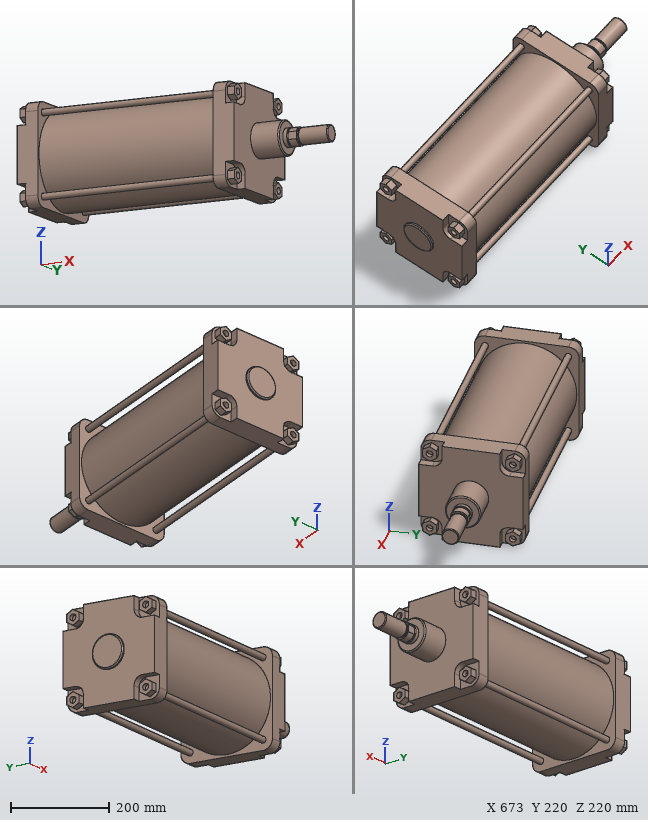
import cadquery as cq
import math


rear_face = 6.0
cover_thickness = 48.0
front_face = 506.0
boss_end = 571.5
rod_end = 673.0
barrel_start = rear_face + cover_thickness
barrel_end = front_face - cover_thickness

cover_side = 220.0
cover_corner_radius = 22.0
boss_diameter = 75.0
boss_chamfer = 3.0
pocket_side = 49.0
pocket_depth = 19.0
pocket_corner_radius = 20.0

barrel_diameter = 210.5

tie_rod_offset = 87.5
tie_rod_diameter = 14.0
nut_sides = 6
nut_across_flats = 29.5
nut_recess = 2.0
nut_bore_depth = 10.0
tie_rod_places = [
    (side_y * tie_rod_offset, side_z * tie_rod_offset) for side_y in (-1, 1) for side_z in (-1, 1)
]

rod_diameter = 40.5
rod_shoulder = 582.0
rod_shoulder_chamfer = 2.0
wrench_diameter = 40.0
wrench_across_flats = 36.5
wrench_end = 601.5
neck_diameter = 33.0
thread_start = 606.0
thread_diameter = 36.5
thread_chamfer = 2.0


def cylinder(diameter, x_start, x_end):
    """Cylinder on the X axis between two X positions."""
    return cq.Workplane("YZ").workplane(offset=x_start).circle(diameter / 2).extrude(x_end - x_start)


def make_cover(outer_face, inner_face, boss_tip):
    """Square cover with a chamfered boss, nut pockets in the outer corners and tie-rod holes."""
    outward = 1 if outer_face > inner_face else -1
    cover = (
        cq.Workplane("YZ")
        .workplane(offset=inner_face)
        .rect(cover_side, cover_side)
        .extrude(outer_face - inner_face)
        .edges("|X")
        .fillet(cover_corner_radius)
    )

    pockets = (
        cq.Workplane("YZ")
        .workplane(offset=outer_face)
        .rect(cover_side, cover_side, forConstruction=True)
        .vertices()
        .rect(2 * pocket_side, 2 * pocket_side)
        .extrude(-outward * pocket_depth)
        .edges("|X")
        .fillet(pocket_corner_radius)
    )
    tie_rod_holes = (
        cq.Workplane("YZ")
        .workplane(offset=inner_face)
        .pushPoints(tie_rod_places)
        .circle(tie_rod_diameter / 2)
        .extrude(outer_face - inner_face)
    )

    boss_tip_side = ">X" if outward > 0 else "<X"
    boss = cylinder(boss_diameter, outer_face, boss_tip).faces(boss_tip_side).chamfer(boss_chamfer)
    return cover.cut(pockets).cut(tie_rod_holes).union(boss)


def make_piston_rod():
    """Rod with two wrench flats facing -Y and +Y, an undercut neck and a plain thread cylinder."""
    body = cylinder(rod_diameter, barrel_end, rod_shoulder).faces(">X").chamfer(rod_shoulder_chamfer)
    wrench = cylinder(wrench_diameter, rod_shoulder, wrench_end).intersect(
        cq.Workplane("YZ")
        .workplane(offset=rod_shoulder)
        .rect(wrench_across_flats, wrench_diameter)
        .extrude(wrench_end - rod_shoulder)
    )
    neck = cylinder(neck_diameter, wrench_end, thread_start)
    thread = cylinder(thread_diameter, thread_start, rod_end).faces(">X").chamfer(thread_chamfer)
    return body.union(wrench).union(neck).union(thread)


def make_tie_rod(y, z):
    """Tie rod with its two nuts; each nut bore stays open beyond the end of the rod."""
    nut_height = pocket_depth - nut_recess
    rear_nut_face = rear_face + nut_recess
    front_nut_face = front_face - nut_recess
    quarter_turn = 90
    nut_corner_diameter = nut_across_flats / math.cos(math.pi / nut_sides)

    tie_rod = cylinder(tie_rod_diameter, rear_nut_face, front_nut_face)
    for nut_start in (rear_nut_face, front_nut_face - nut_height):
        nut = (
            cq.Workplane("YZ")
            .workplane(offset=nut_start)
            .transformed(rotate=(0, 0, quarter_turn))
            .polygon(nut_sides, nut_corner_diameter)
            .extrude(nut_height)
        )
        tie_rod = tie_rod.union(nut)
    for bore_start in (rear_nut_face, front_nut_face - nut_bore_depth):
        tie_rod = tie_rod.cut(cylinder(tie_rod_diameter, bore_start, bore_start + nut_bore_depth))
    return tie_rod.translate((0, y, z))


rear_cover = make_cover(rear_face, barrel_start, 0)
rod_bore = cylinder(rod_diameter, barrel_end, boss_end)
front_cover = make_cover(front_face, barrel_end, boss_end).cut(rod_bore)
barrel = cylinder(barrel_diameter, barrel_start, barrel_end)
piston_rod = make_piston_rod()
tie_rods = [make_tie_rod(y, z) for y, z in tie_rod_places]

result = cq.Compound.makeCompound(
    [
        rear_cover.val(),
        front_cover.val(),
        barrel.val(),
        piston_rod.val(),
        *[tie_rod.val() for tie_rod in tie_rods],
    ]
)